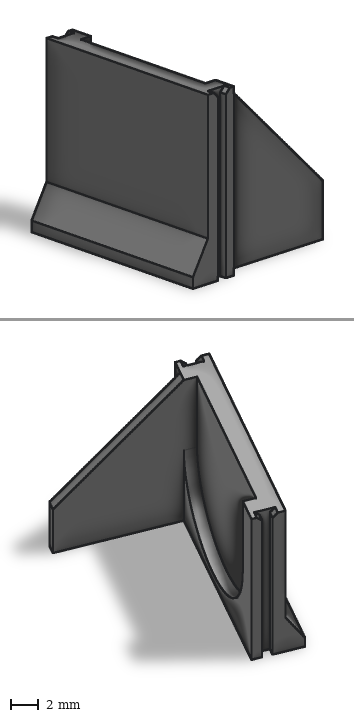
import cadquery as cq
import math

width = 16.8
height = 14.5
wall_thickness = 2.6
foot_length = 1.5
foot_edge_height = 0.89
foot_slope_angle = 60.0
back_y = foot_length + wall_thickness
foot_top_z = foot_edge_height + foot_length * math.tan(math.radians(foot_slope_angle))

groove_width = 0.79
groove_depth = 0.59
groove_flare = 0.4
groove_center_y = back_y - 1.21

recess_radius = 6.48
recess_depth = 1.0
recess_center_z = height / 2

fin_thickness = 0.79
fin_length = 10.0
fin_left_x = width / 2 + recess_radius
fin_end_height = height - fin_length


def make_wall():
    """Upright wall with its sloping foot, extruded across the width."""
    profile = [
        (0, 0),
        (back_y, 0),
        (back_y, height),
        (foot_length, height),
        (foot_length, foot_top_z),
        (0, foot_edge_height),
    ]
    return cq.Workplane("YZ").polyline(profile).close().extrude(width)


def make_groove(left_x):
    """Cutter for one side groove, widening at 45 degrees at its top."""
    half_width = groove_width / 2
    half_mouth = half_width + groove_flare
    flare_z = height - groove_flare
    profile = [
        (groove_center_y - half_width, 0),
        (groove_center_y + half_width, 0),
        (groove_center_y + half_width, flare_z),
        (groove_center_y + half_mouth, height),
        (groove_center_y - half_mouth, height),
        (groove_center_y - half_width, flare_z),
    ]
    return cq.Workplane("YZ", origin=(left_x, 0, 0)).polyline(profile).close().extrude(groove_depth)


def make_recess():
    """Cutter with a semicircular bottom and straight sides up to the top."""
    return (
        cq.Workplane("XZ", origin=(width / 2, back_y, 0))
        .moveTo(-recess_radius, height)
        .lineTo(-recess_radius, recess_center_z)
        .threePointArc((0, recess_center_z - recess_radius), (recess_radius, recess_center_z))
        .lineTo(recess_radius, height)
        .close()
        .extrude(recess_depth)
    )


def make_fin():
    """Upright fin reaching back from the wall."""
    profile = [
        (back_y, 0),
        (back_y + fin_length, 0),
        (back_y + fin_length, fin_end_height),
        (back_y, height),
    ]
    return cq.Workplane("YZ", origin=(fin_left_x, 0, 0)).polyline(profile).close().extrude(fin_thickness)


result = make_wall().cut(make_recess())
for groove_left_x in (0, width - groove_depth):
    result = result.cut(make_groove(groove_left_x))
result = result.union(make_fin())